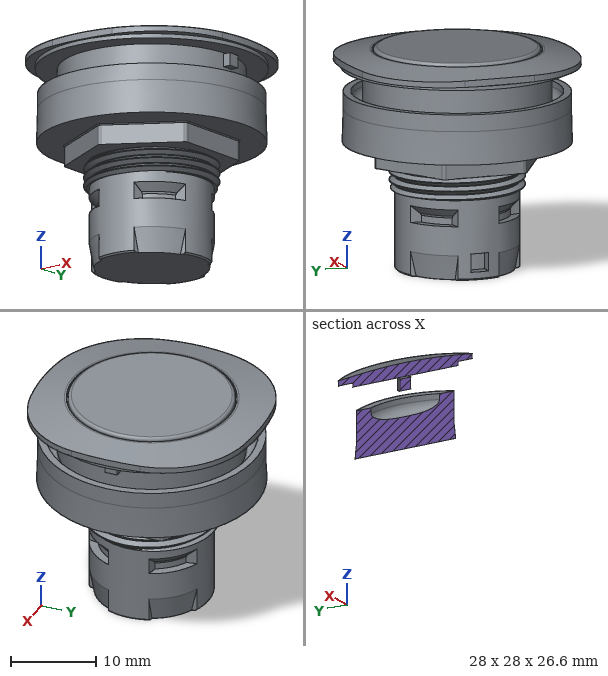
import cadquery as cq
import math


thread_bottom = 9.73
nut_bottom = 12.73
collar_bottom = 15.22
collar_joint = 19.22
collar_top = 21.23
plate_bottom = 24.22
rim_bottom = 24.73
bezel_top = 26.25
button_top = 26.6

barrel_diameter = 14.7
barrel_chamfer = 0.2
thread_diameter = 16.0
thread_pitch = 1.0
thread_root_flat = 0.1
thread_crest_flat = 0.1
thread_overlap = 0.05
thread_crest_height = 10.4

pocket_half_width = 3.05
pocket_wall_slope = 1.5
wedge_depth = 1.68
wedge_overhang = 1.4
window_floor = 6.5
window_top = 8.5
window_roof_bend = 7.55
window_roof_bottom = 7.3
window_back_diameter = 12.6
notch_top = 3.0
notch_bottom_diameter = 13.6

square_hole_size = 2.2
square_hole_bottom = 0.98
square_hole_back_diameter = 12.0

nut_across_flats = 17.98
nut_corner_radius = 0.48
nut_flare = 0.15

collar_diameter = 26.85
collar_base_diameter = 27.07
collar_bore_diameter = 25.0
collar_bore_floor = 19.22
collar_bore_fillet = 1.3

neck_diameter = 22.2
key_reach = 12.05
key_width = 1.55
key_bottom = 22.52
key_top = 24.05
plate_diameter = 27.4

bezel_width = 27.97
side_arc_radius = 27.97
side_arc_half_length = 4.35
bezel_inner_diameter = 20.53
bezel_slope = 0.19

button_diameter = 19.7
gap_diameter = 20.05
gap_depth = 0.55
gap_floor = bezel_top - gap_depth
button_edge_radius = 0.4


def cylinder(diameter, bottom, top):
    return cq.Workplane("XY").workplane(offset=bottom).circle(diameter / 2).extrude(top - bottom)


def revolved(points):
    """Turn a closed (radius, height) outline about the Z axis."""
    return cq.Workplane("XZ").polyline(points).close().revolve(360, (0, 0), (0, 1))


def turned(x, y, angle):
    """Turn a point about the origin by an angle in radians."""
    cosine = math.cos(angle)
    sine = math.sin(angle)
    return (x * cosine - y * sine, x * sine + y * cosine)


def make_barrel():
    barrel = cylinder(barrel_diameter, 0, thread_bottom)
    return barrel.faces("<Z").edges().chamfer(barrel_chamfer)


def make_thread():
    """Threaded core: a helical ridge with narrow flats on its crests and roots."""
    core_radius = barrel_diameter / 2
    crest_radius = thread_diameter / 2
    half_crest = thread_crest_flat / 2
    half_base = (thread_pitch - thread_root_flat) / 2

    inner_radius = core_radius - thread_overlap
    flank_slope = (half_base - half_crest) / (crest_radius - core_radius)
    half_inner = half_base + flank_slope * thread_overlap

    turns = 5
    start = thread_crest_height - 2 * thread_pitch
    path = cq.Wire.makeHelix(thread_pitch, turns * thread_pitch, core_radius, cq.Vector(0, 0, start))
    ridge = (
        cq.Workplane("XZ")
        .polyline([
            (inner_radius, start - half_inner),
            (crest_radius, start - half_crest),
            (crest_radius, start + half_crest),
            (inner_radius, start + half_inner),
        ])
        .close()
        .sweep(cq.Workplane(path), isFrenet=True)
    )
    core = cylinder(barrel_diameter, start - thread_pitch, start + (turns + 1) * thread_pitch)
    sleeve = cylinder(2 * thread_diameter, thread_bottom, nut_bottom)
    return core.union(ridge).intersect(sleeve)


def make_nut():
    corner_diameter = nut_across_flats / math.cos(math.pi / 6)
    nut = (
        cq.Workplane("XY").workplane(offset=nut_bottom)
        .transformed(rotate=(0, 0, 90))
        .polygon(6, corner_diameter)
        .extrude(collar_bottom - nut_bottom)
        .edges("|Z").fillet(nut_corner_radius)
    )
    flare_outline = nut.faces(">Z").wires().toPending()
    flare = flare_outline.offset2D(nut_flare).extrude(-nut_flare, combine=False, taper=45)
    return nut.union(flare)


def make_collar():
    outer = collar_diameter / 2
    base = collar_base_diameter / 2
    cup = revolved([
        (0, collar_bottom),
        (base, collar_bottom),
        (outer, collar_joint),
        (outer, collar_top),
        (0, collar_top),
    ])
    bore = cylinder(collar_bore_diameter, collar_bore_floor, collar_top)
    return cup.cut(bore.faces("<Z").edges().fillet(collar_bore_fillet))


def make_neck():
    neck = cylinder(neck_diameter, collar_bore_floor, plate_bottom)
    key = (
        cq.Workplane("XY").workplane(offset=key_bottom)
        .center(key_reach / 2, 0)
        .rect(key_reach, key_width)
        .extrude(key_top - key_bottom)
    )
    plate = cylinder(plate_diameter, plate_bottom, rim_bottom)
    return neck.union(key).union(plate)


def bezel_outline():
    half = bezel_width / 2
    run = side_arc_half_length
    end = half - side_arc_radius + math.sqrt(side_arc_radius ** 2 - run ** 2)
    tilt = math.asin(run / side_arc_radius)
    corner_radius = (end - run) / (math.cos(tilt) - math.sin(tilt))
    centre = run - corner_radius * math.sin(tilt)
    diagonal = centre + corner_radius * math.sqrt(0.5)

    outline = cq.Workplane("XY").workplane(offset=rim_bottom).moveTo(end, -run)
    for quarter in range(4):
        turn = quarter * math.pi / 2
        outline = outline.threePointArc(turned(half, 0, turn), turned(end, run, turn))
        outline = outline.threePointArc(turned(diagonal, diagonal, turn), turned(run, end, turn))
    return outline.close()


def make_bezel():
    inner = bezel_inner_diameter / 2
    dome_radius = bezel_width
    cone_drop = bezel_slope * (dome_radius - inner)
    dome = revolved([
        (0, rim_bottom),
        (dome_radius, rim_bottom),
        (dome_radius, bezel_top - cone_drop),
        (inner, bezel_top),
        (0, bezel_top),
    ])
    return bezel_outline().extrude(bezel_top - rim_bottom).intersect(dome)


def make_button_gap():
    return cylinder(gap_diameter, gap_floor, button_top)


def make_button():
    button = cylinder(button_diameter, gap_floor, button_top)
    return button.faces(">Z").edges().fillet(button_edge_radius)


def pocket_wedge(angle, top):
    """Upright prism that narrows towards the axis, pointing along the given angle."""
    rim_radius = barrel_diameter / 2
    mouth = math.sqrt(rim_radius ** 2 - pocket_half_width ** 2)
    narrow = pocket_half_width - pocket_wall_slope * wedge_depth
    half_plan = [
        (mouth - wedge_depth, narrow),
        (mouth, pocket_half_width),
        (mouth + wedge_overhang, pocket_half_width),
    ]
    mirrored = [(x, -y) for x, y in reversed(half_plan)]
    prism = cq.Workplane("XY").polyline(half_plan + mirrored).close().extrude(top)
    return prism.rotate((0, 0, 0), (0, 0, 1), angle)


def make_pockets():
    rim_radius = barrel_diameter / 2
    outside = thread_diameter / 2
    back = window_back_diameter / 2
    bend = rim_radius - (window_top - window_roof_bend)
    window_ring = revolved([
        (back, window_floor),
        (outside, window_floor),
        (outside, window_top),
        (rim_radius, window_top),
        (bend, window_roof_bend),
        (back, window_roof_bottom),
    ])
    notch_ring = revolved([
        (notch_bottom_diameter / 2, 0),
        (outside, 0),
        (outside, notch_top),
        (rim_radius, notch_top),
    ])
    rings = window_ring.union(notch_ring)
    pockets = cq.Workplane("XY")
    for angle in (45, 135, 225, 315):
        pockets = pockets.union(rings.intersect(pocket_wedge(angle, window_top)))
    return pockets


def make_square_hole():
    hole = (
        cq.Workplane("XY").workplane(offset=square_hole_bottom)
        .center(-barrel_diameter / 2, 0)
        .rect(barrel_diameter, square_hole_size)
        .extrude(square_hole_size)
    )
    return hole.cut(cylinder(square_hole_back_diameter, 0, thread_bottom))


barrel = make_barrel().cut(make_pockets()).cut(make_square_hole())
head = make_neck().union(make_bezel()).cut(make_button_gap()).union(make_button())
body = barrel.union(make_nut()).union(make_collar()).union(head)
result = body.union(make_thread())